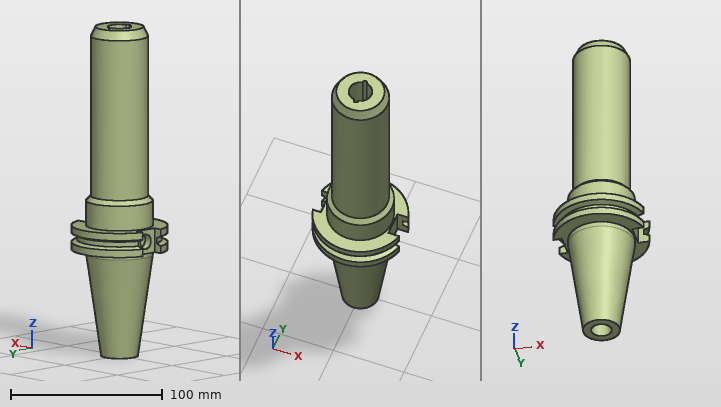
import cadquery as cq

total_height = 220.6
taper_height = 68.2
flange_bottom = 71.5
flange_top = 87.5
rim_height = 4.9
groove_lip = 1.5
collar_top = 104.1
nose_chamfer_height = 6.2

taper_ratio = 7 / 24
collar_radius = 44.4 / 2
taper_end_radius = collar_radius - taper_height * taper_ratio / 2
flange_radius = 63.5 / 2
groove_radius = 28.0
barrel_radius = 19.0
nose_radius = 15.9

bore_radius = 7.7
through_radius = 6.8
relief_radius = 1.43
relief_offset = 8.0
bore_depth = 66.2

slot_width = 16.5
left_slot_floor = 25.0
right_slot_floor = 23.0
dimple_radius = 4.9
dimple_depth = 5.5


def make_body():
    shoulder_top = collar_top + collar_radius - barrel_radius
    lower_rim_top = flange_bottom + rim_height
    upper_rim_bottom = flange_top - rim_height
    profile = [
        (0, 0),
        (taper_end_radius, 0),
        (collar_radius, taper_height),
        (collar_radius, flange_bottom),
        (flange_radius, flange_bottom),
        (flange_radius, lower_rim_top),
        (groove_radius, lower_rim_top + groove_lip),
        (groove_radius, upper_rim_bottom - groove_lip),
        (flange_radius, upper_rim_bottom),
        (flange_radius, flange_top),
        (collar_radius, flange_top),
        (collar_radius, collar_top),
        (barrel_radius, shoulder_top),
        (barrel_radius, total_height - nose_chamfer_height),
        (nose_radius, total_height),
        (0, total_height),
    ]
    return cq.Workplane("XZ").polyline(profile).close().revolve(360, (0, 0), (0, 1))


def make_bore():
    through_hole = cq.Workplane("XY").circle(through_radius).extrude(total_height)
    bore_plane = cq.Workplane("XY", origin=(0, 0, total_height))
    bore = bore_plane.circle(bore_radius).extrude(-bore_depth)
    relief_centers = [(0, relief_offset), (0, -relief_offset)]
    reliefs = bore_plane.pushPoints(relief_centers).circle(relief_radius).extrude(-bore_depth)
    return through_hole.union(bore).union(reliefs)


def make_slot(side, floor):
    """Slot through the flange on the +X (side = 1) or -X (side = -1) side."""
    length = flange_radius - floor
    height = flange_top - flange_bottom
    slot = cq.Workplane("XY").box(length, slot_width, height, centered=(True, True, False))
    return slot.translate((side * (floor + length / 2), 0, flange_bottom))


def make_dimple():
    flange_middle = (flange_bottom + flange_top) / 2
    floor_plane = cq.Workplane("YZ", origin=(-left_slot_floor, 0, flange_middle))
    return floor_plane.circle(dimple_radius).extrude(dimple_depth)


result = (
    make_body()
    .cut(make_bore())
    .cut(make_slot(-1, left_slot_floor))
    .cut(make_slot(1, right_slot_floor))
    .cut(make_dimple())
)